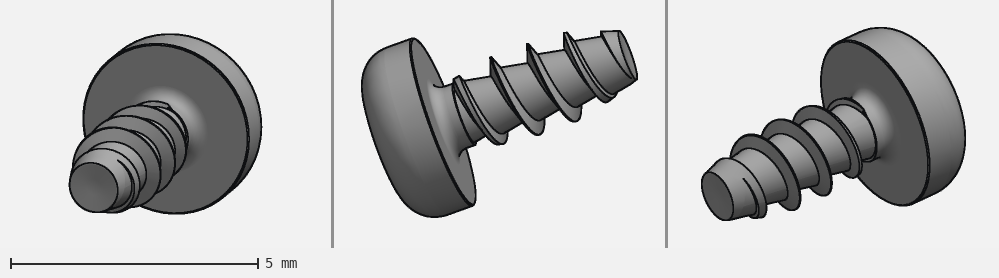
import cadquery as cq
import math

total_length = 5.3
tip_y = -total_length / 2
head_top_y = total_length / 2

head_radius = 1.8
head_height = 1.3
dome_radius = 0.72
rim_chamfer = 0.025
head_base_y = head_top_y - head_height

neck_radius = 0.66
neck_fillet = 0.255
thread_length = 3.555
neck_start_y = tip_y + thread_length

crest_radius = 0.905
tip_radius = 0.525
tip_taper_length = 1.19
head_taper_length = 0.935
head_end_crest_radius = 0.73

pitch = 0.8
first_crest_offset = 0.6
crest_land = 0.015
wide_root_radius = 0.64
narrow_root_radius = 0.54
wide_root_offset = 0.115
narrow_root_offset = 0.13
groove_outer_radius = 0.92
groove_turns = 6

dimple_radius = 0.49
dimple_depth = 0.04


def revolve_around_y(profile):
    """Revolve a closed XY profile about the Y axis."""
    return profile.close().revolve(360, (0, 0, 0), (0, 1, 0))


def make_head_and_neck():
    diagonal = math.sqrt(0.5)
    dome_x = head_radius - dome_radius
    dome_y = head_top_y - dome_radius
    fillet_x = neck_radius + neck_fillet
    fillet_y = head_base_y - neck_fillet
    profile = (
        cq.Workplane("XY")
        .moveTo(0, neck_start_y)
        .lineTo(neck_radius, neck_start_y)
        .lineTo(neck_radius, fillet_y)
        .threePointArc(
            (fillet_x - neck_fillet * diagonal, fillet_y + neck_fillet * diagonal),
            (fillet_x, head_base_y),
        )
        .lineTo(head_radius - rim_chamfer, head_base_y)
        .lineTo(head_radius, head_base_y + rim_chamfer)
        .lineTo(head_radius, dome_y)
        .threePointArc(
            (dome_x + dome_radius * diagonal, dome_y + dome_radius * diagonal),
            (dome_x, head_top_y),
        )
        .lineTo(0, head_top_y)
    )
    return revolve_around_y(profile)


def make_thread_blank():
    profile = (
        cq.Workplane("XY")
        .moveTo(0, tip_y)
        .lineTo(tip_radius, tip_y)
        .lineTo(crest_radius, tip_y + tip_taper_length)
        .lineTo(crest_radius, neck_start_y - head_taper_length)
        .lineTo(head_end_crest_radius, neck_start_y)
        .lineTo(0, neck_start_y)
    )
    return revolve_around_y(profile)


def make_groove_turn():
    """One full turn of the groove, enclosed by ruled helical faces and two flat ends.

    It is built along Z starting on +X, then turned so Z becomes Y.
    The thread crest below its start lies at Z = 0.
    """
    section = [
        (groove_outer_radius, crest_land / 2),
        (narrow_root_radius, narrow_root_offset),
        (wide_root_radius, pitch - wide_root_offset),
        (groove_outer_radius, pitch - crest_land / 2),
    ]
    edges = [
        cq.Wire.makeHelix(pitch, pitch, radius).translate(cq.Vector(0, 0, z)).Edges()[0]
        for radius, z in section
    ]
    faces = [
        cq.Face.makeRuledSurface(edge, next_edge)
        for edge, next_edge in zip(edges, edges[1:] + edges[:1])
    ]
    for end_z in (0, pitch):
        corners = [cq.Vector(radius, 0, z + end_z) for radius, z in section]
        faces.append(cq.Face.makeFromWires(cq.Wire.makePolygon(corners, close=True)))
    turn = cq.Solid.makeSolid(cq.Shell.makeShell(faces))
    return cq.Workplane(obj=turn).rotate((0, 0, 0), (1, 0, 0), -90)


def make_thread():
    """Cut the groove turn by turn, from below the tip to past the neck."""
    thread = make_thread_blank()
    groove_turn = make_groove_turn()
    start_y = tip_y + first_crest_offset - 2 * pitch
    for turn in range(groove_turns):
        thread = thread.cut(groove_turn.translate((0, start_y + turn * pitch, 0)))
    return thread


def make_dimple():
    profile = (
        cq.Workplane("XY")
        .moveTo(0, tip_y)
        .lineTo(dimple_radius, tip_y)
        .lineTo(0, tip_y + dimple_depth)
    )
    return revolve_around_y(profile)


result = make_head_and_neck().union(make_thread()).cut(make_dimple())